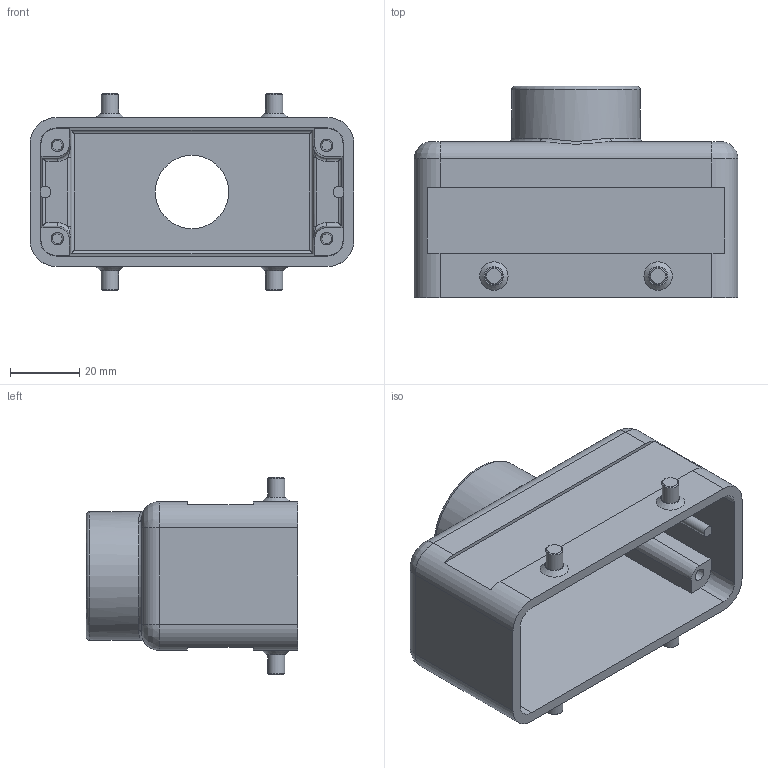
import cadquery as cq
import math

BODY_WIDTH = 93.5
BODY_HEIGHT = 43.0
BODY_DEPTH = 45.0
BODY_CORNER_RADIUS = 7.5
BACK_EDGE_RADIUS = 5.0
WALL = 3.0

COLLAR_DIAMETER = 37.2
COLLAR_LENGTH = 16.0
COLLAR_END_RADIUS = 1.0
COLLAR_ROOT_RADIUS = 1.0
ENTRY_DIAMETER = 21.2

CAVITY_WIDTH = BODY_WIDTH - 2 * WALL
CAVITY_HEIGHT = BODY_HEIGHT - 2 * WALL
CAVITY_CORNER_RADIUS = BODY_CORNER_RADIUS - WALL
CAVITY_FLOOR = BODY_DEPTH - WALL
CAVITY_FLOOR_RADIUS = 1.0
CAVITY_DRAFT = 0.9
CENTRE_WIDTH = 71.2
BOSS_GAP = 20.9

SHELF_DEPTH = 38.0
SHELF_FLOOR_RADIUS = 1.0
SHELF_LIP_RADIUS = 0.9

BOSS_FACE_DEPTH = 9.5
BOSS_CORNER_RADIUS = 3.3
SCREW_SPACING_X = 77.8
SCREW_SPACING_Z = 27.0
SCREW_MOUTH_DIAMETER = 3.6
SCREW_END_DIAMETER = 2.9
SCREW_DEPTH = 15.0

RIB_DIAMETER = 3.3
RIB_OFFSET = 1.3

PIN_SPACING = 47.4
PIN_FROM_OPENING = 6.2
PIN_DIAMETER = 5.0
PIN_SPAN = 57.0
PIN_CHAMFER = 0.3
PIN_ROOT_RADIUS = 4.1
PIN_ROOT_TOP_RADIUS = 2.75
PIN_ROOT_HEIGHT = 1.25

RECESS_START = 12.8
RECESS_END = 31.8
RECESS_DEPTH = 1.0

SIDES = (-1, 1)


def facing_back(depth):
    """Workplane at the given Y whose normal points towards +Y."""
    plane = cq.Plane(origin=(0, depth, 0), xDir=(-1, 0, 0), normal=(0, 1, 0))
    return cq.Workplane(plane)


def make_body():
    """Solid block with rounded corners and a rounded back rim."""
    return (
        facing_back(0)
        .rect(BODY_WIDTH, BODY_HEIGHT)
        .extrude(BODY_DEPTH)
        .edges("|Y")
        .fillet(BODY_CORNER_RADIUS)
        .faces(">Y")
        .edges()
        .fillet(BACK_EDGE_RADIUS)
    )


def add_collar(body):
    """Join the collar, starting inside the back wall, and blend its root."""
    start = CAVITY_FLOOR - WALL
    length = BODY_DEPTH + COLLAR_LENGTH - start
    collar = facing_back(start).circle(COLLAR_DIAMETER / 2).extrude(length)
    joined = body.union(collar)
    reach = COLLAR_DIAMETER / 2 + COLLAR_ROOT_RADIUS
    root_zone = cq.selectors.BoxSelector(
        (-reach, BODY_DEPTH - BACK_EDGE_RADIUS, -reach),
        (reach, BODY_DEPTH + COLLAR_ROOT_RADIUS, reach),
        boundingbox=True,
    )
    root_edges = joined.edges(root_zone)
    blended = joined.newObject(root_edges.vals()).fillet(COLLAR_ROOT_RADIUS)
    return blended.faces(">Y").edges().fillet(COLLAR_END_RADIUS)


def make_opening():
    """Plain stretch of the cavity in front of the screw bosses."""
    mouth = cq.Sketch().rect(CAVITY_WIDTH, CAVITY_HEIGHT).vertices().fillet(CAVITY_CORNER_RADIUS)
    return (
        facing_back(0)
        .placeSketch(mouth)
        .extrude(BOSS_FACE_DEPTH, taper=CAVITY_DRAFT)
    )


def make_shelf_pocket():
    """Cross-shaped stretch of the cavity that leaves a boss in each corner."""
    cross = cq.Sketch().rect(CENTRE_WIDTH, CAVITY_HEIGHT).rect(CAVITY_WIDTH, BOSS_GAP).clean()
    reach = BOSS_CORNER_RADIUS / 2
    for side_x in SIDES:
        for side_z in SIDES:
            corner_x = side_x * CENTRE_WIDTH / 2
            corner_z = side_z * BOSS_GAP / 2
            zone = cq.selectors.BoxSelector(
                (corner_x - reach, corner_z - reach, -reach),
                (corner_x + reach, corner_z + reach, reach),
            )
            cross = cross.reset().vertices(zone).fillet(BOSS_CORNER_RADIUS)
    pocket = facing_back(0).placeSketch(cross.reset())
    pocket = pocket.extrude(SHELF_DEPTH, taper=CAVITY_DRAFT)
    return pocket.faces(">Y").edges().fillet(SHELF_FLOOR_RADIUS)


def make_centre_pocket():
    """Deep middle of the cavity, down to the back wall."""
    return (
        facing_back(0)
        .rect(CENTRE_WIDTH, CAVITY_HEIGHT)
        .extrude(CAVITY_FLOOR, taper=CAVITY_DRAFT)
        .faces(">Y")
        .edges()
        .fillet(CAVITY_FLOOR_RADIUS)
    )


def make_cavity():
    """Join the three cavity stretches and round the lips between shelf and centre pocket."""
    cavity = make_opening().union(make_shelf_pocket()).union(make_centre_pocket())
    draft_inset = SHELF_DEPTH * math.tan(math.radians(CAVITY_DRAFT))
    lip_x = CENTRE_WIDTH / 2 - draft_inset
    lips = []
    for side in SIDES:
        lip_middle = cq.selectors.NearestToPointSelector((side * lip_x, SHELF_DEPTH, 0))
        lips += cavity.edges(lip_middle).vals()
    return cavity.newObject(lips).fillet(SHELF_LIP_RADIUS)


def make_rib(side):
    """Round guide rib, partly sunk in an end wall, from the boss face plane to the shelf."""
    centre_x = side * (CAVITY_WIDTH / 2 - RIB_OFFSET)
    length = SHELF_DEPTH - BOSS_FACE_DEPTH
    return facing_back(BOSS_FACE_DEPTH).center(-centre_x, 0).circle(RIB_DIAMETER / 2).extrude(length)


def cut_screw_holes(part):
    """Slightly tapered blind screw hole in each boss face."""
    hole_profile = (
        cq.Workplane("XY", origin=(0, BOSS_FACE_DEPTH, 0))
        .lineTo(SCREW_MOUTH_DIAMETER / 2, 0)
        .lineTo(SCREW_END_DIAMETER / 2, SCREW_DEPTH)
        .lineTo(0, SCREW_DEPTH)
        .close()
    )
    hole = hole_profile.revolve(360, (0, 0, 0), (0, 1, 0))
    for side_x in SIDES:
        for side_z in SIDES:
            place = (side_x * SCREW_SPACING_X / 2, 0, side_z * SCREW_SPACING_Z / 2)
            part = part.cut(hole.translate(place))
    return part


def make_pin(side):
    """Locking pin on a conical root, standing on the top (side = 1) or bottom face."""
    base = BODY_HEIGHT / 2
    radius = PIN_DIAMETER / 2
    tip = PIN_SPAN / 2
    embed = base - WALL / 2
    pin = (
        cq.Workplane("XZ")
        .moveTo(0, embed)
        .lineTo(PIN_ROOT_RADIUS, embed)
        .lineTo(PIN_ROOT_RADIUS, base)
        .lineTo(PIN_ROOT_TOP_RADIUS, base + PIN_ROOT_HEIGHT)
        .lineTo(radius, base + PIN_ROOT_HEIGHT)
        .lineTo(radius, tip - PIN_CHAMFER)
        .lineTo(radius - PIN_CHAMFER, tip)
        .lineTo(0, tip)
        .close()
        .revolve(360, (0, 0, 0), (0, 1, 0))
    )
    if side < 0:
        pin = pin.mirror("XY")
    return pin.translate((0, PIN_FROM_OPENING, 0))


def make_recess(side):
    """Block that cuts the recess into the top (side = 1) or bottom face."""
    centre_y = (RECESS_START + RECESS_END) / 2
    block = cq.Workplane("XY").box(BODY_WIDTH, RECESS_END - RECESS_START, 2 * RECESS_DEPTH)
    return block.translate((0, centre_y, side * BODY_HEIGHT / 2))


body = make_body()
for side in SIDES:
    body = body.cut(make_recess(side))
hood = add_collar(body).cut(make_cavity())
for side_x in SIDES:
    hood = hood.union(make_rib(side_x))
    for side_z in SIDES:
        hood = hood.union(make_pin(side_z).translate((side_x * PIN_SPACING / 2, 0, 0)))
hood = cut_screw_holes(hood)
entry = facing_back(0).circle(ENTRY_DIAMETER / 2).extrude(BODY_DEPTH + COLLAR_LENGTH)
result = hood.cut(entry)